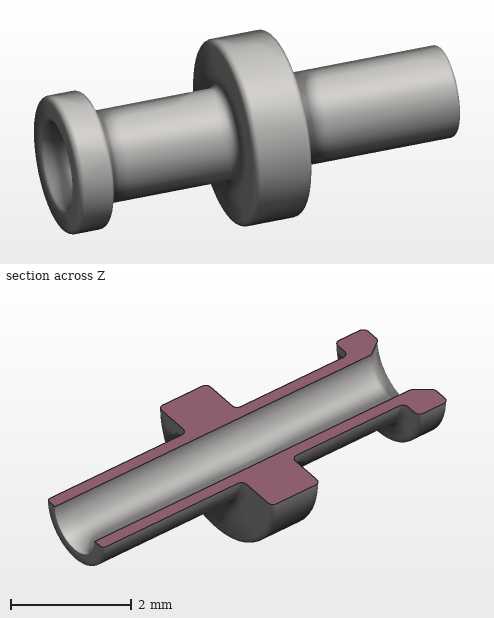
import cadquery as cq

total_length = 6.89
head_thickness = 0.635
flange_start = 2.96
flange_thickness = 1.02
flange_end = flange_start + flange_thickness

head_diameter = 2.355
stem_diameter = 1.57
flange_diameter = 3.18

bore_diameter = 1.1
cone_mouth_diameter = 1.585
cone_depth = 0.325

round_radius = 0.1
tail_round_radius = 0.07


def disc(diameter, start, end):
    """Solid cylinder on the Y axis between two axial stations."""
    plane = cq.Workplane("XZ", origin=(0, start, 0))
    return plane.circle(diameter / 2).extrude(start - end)


def entry_bore():
    """Through bore widened by a cone at the head face, as a cutting solid."""
    bore_radius = bore_diameter / 2
    mouth_radius = cone_mouth_diameter / 2
    return (
        cq.Workplane("XY")
        .moveTo(0, 0)
        .lineTo(mouth_radius, 0)
        .lineTo(bore_radius, cone_depth)
        .lineTo(bore_radius, total_length)
        .lineTo(0, total_length)
        .close()
        .revolve(360, (0, 0, 0), (0, 1, 0))
    )


def edges_at(start, end):
    """Selector for every circular edge whose centre lies between two stations."""
    reach = flange_diameter
    return cq.selectors.BoxSelector((-reach, start, -reach), (reach, end, reach))


body = (
    disc(stem_diameter, 0, total_length)
    .union(disc(head_diameter, 0, head_thickness))
    .union(disc(flange_diameter, flange_start, flange_end))
)

margin = 0.07
body = (
    body.edges("%CIRCLE")
    .edges(edges_at(-margin, flange_end + margin))
    .fillet(round_radius)
)

body = body.faces(">Y").edges().fillet(tail_round_radius)

body = body.cut(entry_bore())
body = body.faces("<Y").edges(cq.selectors.RadiusNthSelector(0)).fillet(round_radius)
cone_throat = edges_at(cone_depth - margin, cone_depth + margin)
body = body.edges("%CIRCLE").edges(cone_throat).fillet(round_radius)

result = body